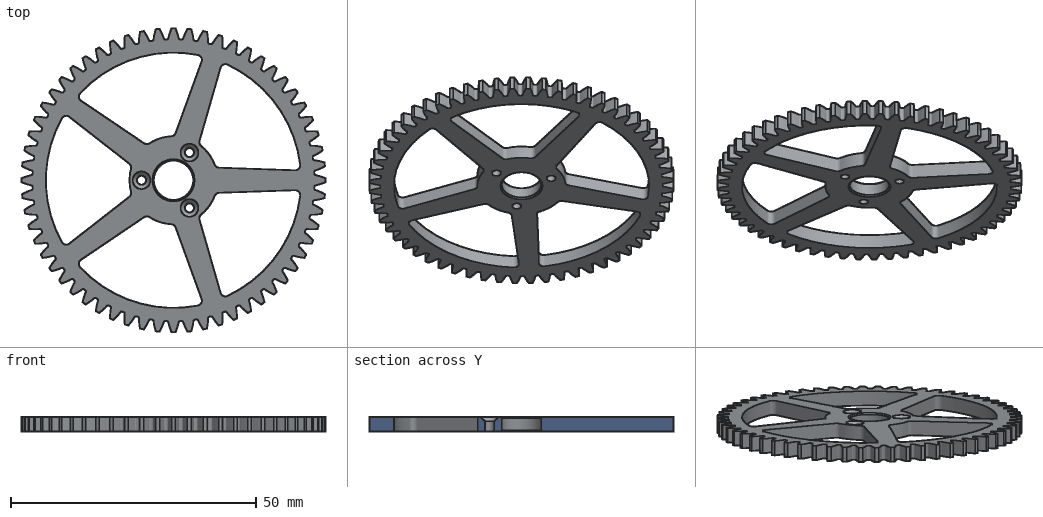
import cadquery as cq
import math

TOOTH_COUNT = 60
OUTER_RADIUS = 31.0
PRESSURE_ANGLE = math.radians(20)
MODULE = 2 * OUTER_RADIUS / (TOOTH_COUNT + 2)
FACE_WIDTH_IN_MODULES = 3
THICKNESS = FACE_WIDTH_IN_MODULES * MODULE
PITCH_RADIUS = MODULE * TOOTH_COUNT / 2
BASE_RADIUS = PITCH_RADIUS * math.cos(PRESSURE_ANGLE)
DEDENDUM_IN_MODULES = 1.25
ROOT_RADIUS = PITCH_RADIUS - DEDENDUM_IN_MODULES * MODULE
ROOT_FILLET = 0.3
GAP_OVERSHOOT = 0.3
FLANK_POINTS = 6

SPOKE_COUNT = 5
HUB_RADIUS = 9.0
RIM_INNER_RADIUS = 26.0
SPOKE_WIDTH_AT_HUB = 5.2
SPOKE_WIDTH_AT_RIM = 4.0
WINDOW_FILLET = 1.0

BORE_DIAMETER = 8.0
BORE_CHAMFER = 0.3
BORE_CHAMFER_ANGLE = 45
SCREW_COUNT = 3
SCREW_CIRCLE_RADIUS = 6.5
SCREW_DIAMETER = 1.8
COUNTERSINK_DIAMETER = 3.6
COUNTERSINK_ANGLE = 90


def polar(radius, angle):
    return (radius * math.cos(angle), radius * math.sin(angle))


def involute_angle(radius):
    """Angle the involute has swept from its base circle at this radius."""
    pressure = math.acos(BASE_RADIUS / radius)
    return math.tan(pressure) - pressure


def gap_half_angle(radius):
    """Half the angle of a tooth gap; gap and tooth are equal on the pitch circle."""
    half_at_pitch = math.pi / (2 * TOOTH_COUNT)
    return half_at_pitch + involute_angle(radius) - involute_angle(PITCH_RADIUS)


def tooth_gap():
    """One gap between involute flanks, centred on +X, with a rounded root."""
    depth = OUTER_RADIUS + GAP_OVERSHOOT - ROOT_RADIUS
    radii = [ROOT_RADIUS + depth * i / (FLANK_POINTS - 1) for i in range(FLANK_POINTS)]
    upper = [polar(r, gap_half_angle(r)) for r in radii]
    lower = [polar(r, -gap_half_angle(r)) for r in reversed(radii)]
    return (
        cq.Workplane("XY")
        .moveTo(*upper[0])
        .spline(upper[1:], includeCurrent=True)
        .lineTo(*lower[0])
        .spline(lower[1:], includeCurrent=True)
        .threePointArc((ROOT_RADIUS, 0), upper[0])
        .close()
        .extrude(THICKNESS)
        .edges("|Z and <X")
        .fillet(ROOT_FILLET)
    )


def cut_teeth(body):
    """Ring of tooth gaps around the rim."""
    tooth_pitch = 360 / TOOTH_COUNT
    gap = tooth_gap().val()
    gaps = [gap.rotate((0, 0, 0), (0, 0, 1), (i + 0.5) * tooth_pitch) for i in range(TOOTH_COUNT)]
    return body.cut(cq.Workplane(cq.Compound.makeCompound(gaps)))


def window():
    """One opening between two tapered spokes, centred on +X, with rounded corners."""
    half_pitch = math.pi / SPOKE_COUNT
    hub_angle = half_pitch - math.asin(SPOKE_WIDTH_AT_HUB / 2 / HUB_RADIUS)
    rim_angle = half_pitch - math.asin(SPOKE_WIDTH_AT_RIM / 2 / RIM_INNER_RADIUS)
    return (
        cq.Workplane("XY")
        .moveTo(*polar(HUB_RADIUS, -hub_angle))
        .lineTo(*polar(RIM_INNER_RADIUS, -rim_angle))
        .threePointArc((RIM_INNER_RADIUS, 0), polar(RIM_INNER_RADIUS, rim_angle))
        .lineTo(*polar(HUB_RADIUS, hub_angle))
        .threePointArc((HUB_RADIUS, 0), polar(HUB_RADIUS, -hub_angle))
        .close()
        .extrude(THICKNESS)
        .edges("|Z")
        .fillet(WINDOW_FILLET)
    )


def cut_windows(body):
    spoke_pitch = 360 / SPOKE_COUNT
    for i in range(SPOKE_COUNT):
        body = body.cut(window().rotate((0, 0, 0), (0, 0, 1), (i + 0.5) * spoke_pitch))
    return body


def cut_bore(body):
    """Central bore, chamfered at both faces."""
    bore = cq.Workplane("XY").circle(BORE_DIAMETER / 2).extrude(THICKNESS)
    flare = (
        cq.Workplane("XY")
        .workplane(offset=THICKNESS)
        .circle(BORE_DIAMETER / 2 + BORE_CHAMFER)
        .extrude(-BORE_CHAMFER, taper=BORE_CHAMFER_ANGLE)
    )
    lower_flare = flare.mirror("XY", (0, 0, THICKNESS / 2))
    return body.cut(bore).cut(flare).cut(lower_flare)


def cut_screw_holes(body):
    """Screw holes countersunk from the top, the first one on -X."""
    return (
        body.faces(">Z")
        .workplane(origin=(0, 0, THICKNESS))
        .polarArray(SCREW_CIRCLE_RADIUS, 180, 360, SCREW_COUNT)
        .cskHole(SCREW_DIAMETER, COUNTERSINK_DIAMETER, COUNTERSINK_ANGLE)
    )


blank = cq.Workplane("XY").circle(OUTER_RADIUS).extrude(THICKNESS)
result = cut_teeth(cut_screw_holes(cut_bore(cut_windows(blank))))